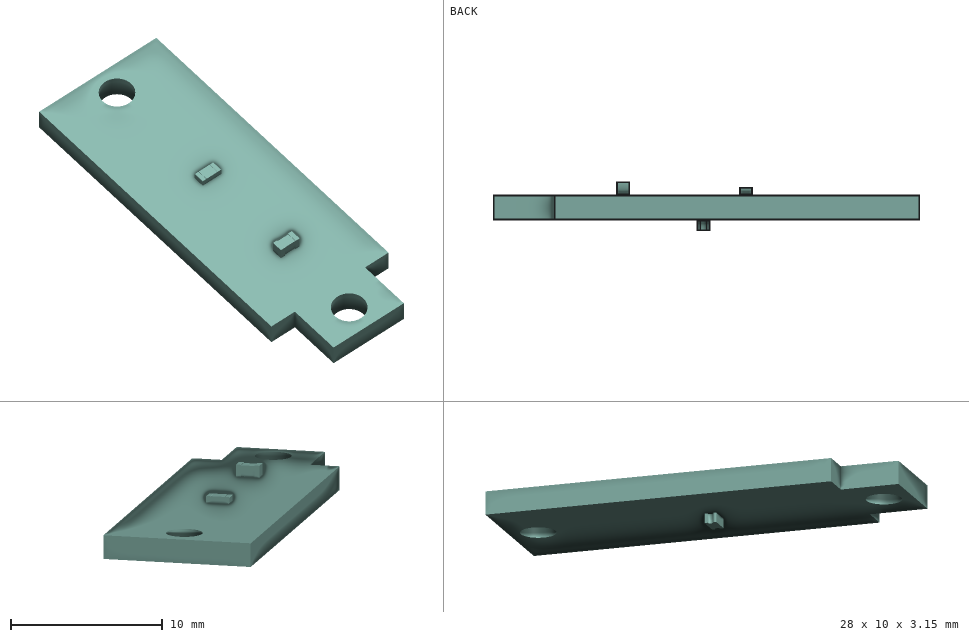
import cadquery as cq

board_length = 28.0
board_width = 10.0
board_thickness = 1.6
tab_length = 4.0
tab_width = 6.0
hole_diameter = 2.4
left_hole_x = 2.0
hole_spacing = 24.0

chip_length = 1.6
chip_width = 0.8
mounting_gap = 0.05

capacitor_x = 19.5
capacitor_height = 0.8
capacitor_terminal_length = 0.35
ceramic_inset = 0.042

resistor_x = 11.4
resistor_height = 0.45
resistor_terminal_length = 0.35
resistor_edge_radius = 0.042

led_x = 14.2
led_height = 0.65
led_notch_diameter = 0.42
led_corner_radius = 0.042


def make_board():
    """Plate with a narrower tab on its +X end and one hole near each end."""
    from_left_end = (False, True, False)
    main_length = board_length - tab_length
    main_plate = cq.Workplane("XY").box(main_length, board_width, board_thickness, centered=from_left_end)
    tab_strip = cq.Workplane("XY").box(board_length, tab_width, board_thickness, centered=from_left_end)
    hole_centres = [(left_hole_x, 0), (left_hole_x + hole_spacing, 0)]
    holes = cq.Workplane("XY").pushPoints(hole_centres).circle(hole_diameter / 2).extrude(board_thickness)
    return main_plate.union(tab_strip).cut(holes)


def make_end_terminals(length, height):
    """Two blocks, one at each end of a chip standing on Z = 0."""
    offset = (chip_length - length) / 2
    return (
        cq.Workplane("XY")
        .pushPoints([(0, -offset), (0, offset)])
        .rect(chip_width, length)
        .extrude(height)
    )


def make_capacitor():
    """Ceramic block set in on all four sides from its two end terminals."""
    ceramic_width = chip_width - 2 * ceramic_inset
    ceramic_height = capacitor_height - 2 * ceramic_inset
    ceramic = (
        cq.Workplane("XY")
        .box(ceramic_width, chip_length, ceramic_height, centered=(True, True, False))
        .translate((0, 0, ceramic_inset))
    )
    terminals = make_end_terminals(capacitor_terminal_length, capacitor_height)
    return ceramic.union(terminals).translate((capacitor_x, 0, board_thickness + mounting_gap))


def make_resistor():
    """Flat chip with a coated middle between two terminals rounded along X."""
    terminals = make_end_terminals(resistor_terminal_length, resistor_height)
    terminals = terminals.edges("|X").fillet(resistor_edge_radius)
    coating_length = chip_length - 2 * resistor_terminal_length
    coating = cq.Workplane("XY").box(chip_width, coating_length, resistor_height, centered=(True, True, False))
    return coating.union(terminals).translate((resistor_x, 0, board_thickness + mounting_gap))


def make_led():
    """Block under the board with a half-round notch down the middle of each end."""
    block = cq.Workplane("XY").rect(chip_width, chip_length).extrude(-led_height)
    block = block.edges("|Z").fillet(led_corner_radius)
    notches = (
        cq.Workplane("XY")
        .pushPoints([(0, -chip_length / 2), (0, chip_length / 2)])
        .circle(led_notch_diameter / 2)
        .extrude(-led_height)
    )
    return block.cut(notches).translate((led_x, 0, -mounting_gap))


board = make_board()
capacitor = make_capacitor()
resistor = make_resistor()
led = make_led()

result = cq.Compound.makeCompound([board.val(), capacitor.val(), resistor.val(), led.val()])